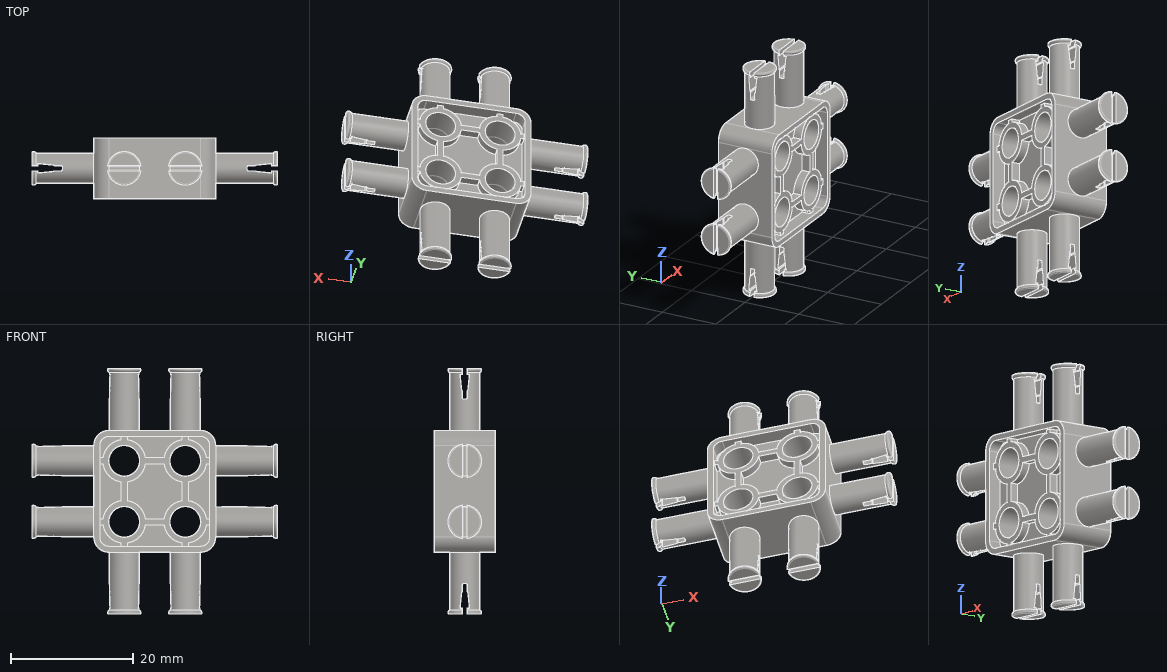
import cadquery as cq
import math

body_side = 20.0
body_thickness = 10.0
corner_radius = 2.5
wall = 1.0
pitch = 10.0
half_pitch = pitch / 2

ring_recess = 0.8
floor_depth = 2.25
hole_diameter = 5.0
ring_diameter = hole_diameter + 2 * wall
rib_width = 1.0

overall_span = 40.25
pin_length = (overall_span - body_side) / 2
pin_diameter = 4.95
collar_diameter = 5.5
collar_bulge_radius = 0.5
rim_setback = 0.25
collar_tip_rounding = 0.2

slit_depth = 5.0
mouth_width = 0.8
mouth_length = 1.0
belly_width = 1.5
belly_low_width = 1.0
belly_length = 2.5
shoulder_height = 0.2
slit_end_width = 0.8
slit_end_rounding = 0.2

both_sides = (-1, 1)
grid_points = [(x * half_pitch, z * half_pitch) for x in both_sides for z in both_sides]


def rounded_square(side, radius, depth):
    """Square prism centred on the origin, its rounded edges along Y."""
    block = cq.Workplane("XY").box(side, depth, side)
    return block.edges("|Y").fillet(radius)


def make_lattice(depth):
    """Four rings and the ribs that run through their centres."""
    lattice = (
        cq.Workplane("XZ")
        .pushPoints(grid_points)
        .circle(ring_diameter / 2)
        .extrude(depth / 2, both=True)
    )
    rib_length = body_side - wall
    rib_along_x = cq.Workplane("XY").box(rib_length, depth, rib_width)
    rib_along_z = cq.Workplane("XY").box(rib_width, depth, rib_length)
    for side in both_sides:
        lattice = lattice.union(rib_along_x.translate((0, 0, side * half_pitch)))
        lattice = lattice.union(rib_along_z.translate((side * half_pitch, 0, 0)))
    return lattice


def make_body():
    """Outer wall, middle floor and lattice, not yet drilled."""
    inner_side = body_side - 2 * wall
    inner_radius = corner_radius - wall
    shell = rounded_square(body_side, corner_radius, body_thickness)
    shell = shell.cut(rounded_square(inner_side, inner_radius, body_thickness))
    floor_thickness = body_thickness - 2 * floor_depth
    floor = rounded_square(body_side - wall, corner_radius - wall / 2, floor_thickness)
    return shell.union(floor).union(make_lattice(body_thickness - 2 * ring_recess))


def make_slit():
    """Slit through the pin along X: narrow mouth, tapering belly, sloped shoulders and a narrow rounded end."""
    belly_top = pin_length - mouth_length
    belly_bottom = belly_top - belly_length
    shoulder_bottom = belly_bottom - shoulder_height
    slit_bottom = pin_length - slit_depth
    mouth = cq.Workplane("XY").box(collar_diameter, mouth_width, mouth_length, centered=(True, True, False))
    belly = (
        cq.Workplane("YZ")
        .moveTo(0, belly_top)
        .lineTo(belly_width / 2, belly_top)
        .lineTo(belly_low_width / 2, belly_bottom)
        .lineTo(slit_end_width / 2, shoulder_bottom)
        .lineTo(slit_end_width / 2, slit_bottom)
        .lineTo(0, slit_bottom)
        .mirrorY()
        .extrude(collar_diameter / 2, both=True)
        .faces("<Z")
        .edges("|X")
        .fillet(slit_end_rounding)
    )
    return belly.union(mouth.translate((0, 0, belly_top)))


def make_collar():
    """Bulging ring at the tip of the pin, its end edge rounded off."""
    shaft_radius = pin_diameter / 2
    rim_radius = collar_diameter / 2
    rim_height = pin_length - rim_setback
    bulge_centre = rim_radius - collar_bulge_radius
    tip_radius = bulge_centre + math.sqrt(collar_bulge_radius**2 - rim_setback**2)
    back_drop = math.sqrt(collar_bulge_radius**2 - (shaft_radius - bulge_centre) ** 2)
    back_height = rim_height - back_drop
    collar = (
        cq.Workplane("XZ")
        .moveTo(0, pin_length)
        .lineTo(tip_radius, pin_length)
        .threePointArc((rim_radius, rim_height), (shaft_radius, back_height))
        .lineTo(0, back_height)
        .close()
        .revolve()
    )
    return collar.faces(">Z").edges().fillet(collar_tip_rounding)


def make_pin():
    """Slit pin standing on Z = 0, its foot sunk into the wall."""
    foot = wall / 2
    shaft = cq.Workplane("XY").workplane(offset=-foot).circle(pin_diameter / 2).extrude(pin_length + foot)
    return shaft.union(make_collar()).cut(make_slit())


def add_pins(part):
    """Two pins on each of the four narrow sides."""
    pin = make_pin()
    for turn in (0, 90, 180, 270):
        for side in both_sides:
            placed = pin.translate((side * half_pitch, 0, body_side / 2))
            part = part.union(placed.rotate((0, 0, 0), (0, 1, 0), turn))
    return part


def drill_holes(part):
    """Bore the four holes through the rings along Y."""
    drills = (
        cq.Workplane("XZ")
        .pushPoints(grid_points)
        .circle(hole_diameter / 2)
        .extrude(body_thickness, both=True)
    )
    return part.cut(drills)


result = drill_holes(add_pins(make_body()))